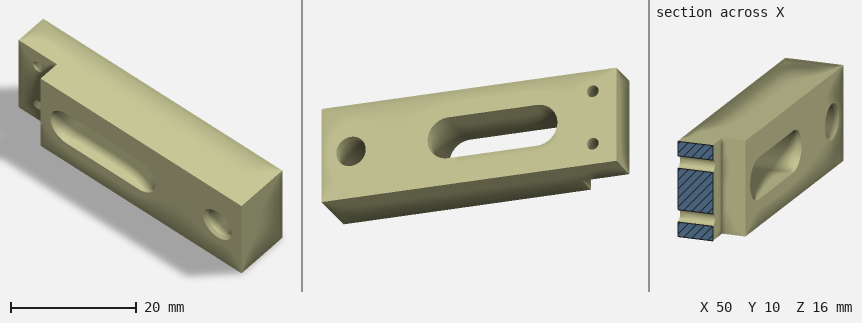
import cadquery as cq

length = 50
depth = 10
height = 16
mid_height = height / 2

step_length = 8
step_depth = 4

slot_start = 10
slot_length = 22
slot_width = 7

main_hole_from_end = 5
main_hole_diameter = 5
countersink_width = 0.5

pin_hole_diameter = 2
pin_hole_spacing = 9


def through_hole(x, z, diameter):
    """Cylinder along Y that spans the full depth of the block."""
    return (
        cq.Workplane("XZ", origin=(x, 0, z))
        .circle(diameter / 2)
        .extrude(-depth)
    )


block = cq.Workplane("XY").box(length, depth, height, centered=False)
step = cq.Workplane("XY").box(step_length, step_depth, height, centered=False)
result = block.cut(step)

slot = (
    cq.Workplane("XZ", origin=(slot_start + slot_length / 2, 0, mid_height))
    .slot2D(slot_length, slot_width)
    .extrude(-depth)
)
result = result.cut(slot)

main_hole_x = length - main_hole_from_end
main_hole = through_hole(main_hole_x, mid_height, main_hole_diameter)
countersink_radius = main_hole_diameter / 2 + countersink_width
countersink = (
    cq.Workplane("XZ", origin=(main_hole_x, 0, mid_height))
    .circle(countersink_radius)
    .extrude(-countersink_width, taper=45)
)
result = result.cut(main_hole).cut(countersink)

for side in (-1, 1):
    pin_hole_z = mid_height + side * pin_hole_spacing / 2
    result = result.cut(through_hole(step_length / 2, pin_hole_z, pin_hole_diameter))